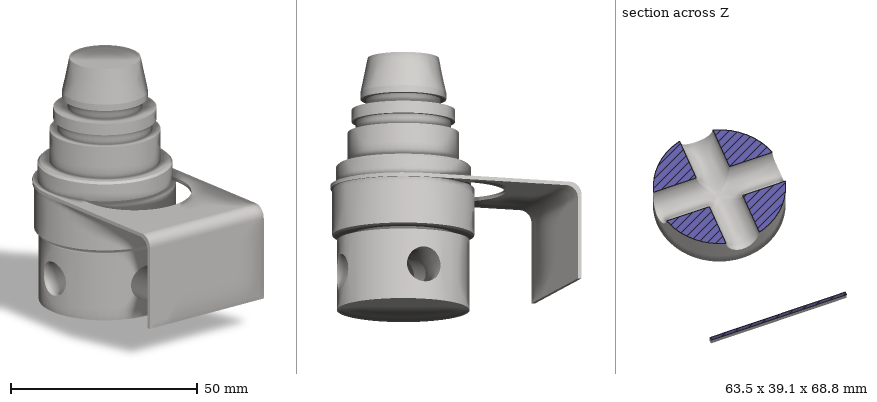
import cadquery as cq


knob_top = 19.0
housing_bottom = 20.4
bracket_bottom = 33.05
bracket_thickness = 1.0
bracket_top = bracket_bottom + bracket_thickness
nut_top = 39.5
stem_top = 48.4
hub_top = 51.4
flange_top = 54.65
neck_top = 57.5
rim_top = 59.3
overall_height = 68.77

knob_radius = 17.85
boss_radius = 14.0
housing_radius = 19.1
stem_radius = 14.95
hub_radius = 12.8
flange_radius = 13.9
nut_radius = 18.15
nut_chamfer = 0.6
tip_neck_radius = 10.05
tip_rim_radius = 11.55
tip_end_radius = 9.6

cross_hole_diameter = 9.5
cross_hole_height = knob_top / 2

overall_length = 63.47
bracket_width = 39.12
bracket_end_radius = bracket_width / 2
bracket_reach = overall_length - bracket_end_radius
bracket_leg_bottom = 7.8
bend_radius = 3.25
slot_radius = 15.3
slot_travel = 12.7


def cylinder(radius, bottom, top):
    """Upright cylinder on the Z axis between two heights."""
    return cq.Workplane("XY").workplane(offset=bottom).circle(radius).extrude(top - bottom)


def make_knob():
    """Bottom knob with a boss on top and two crossing holes for a tommy bar."""
    knob = cylinder(knob_radius, 0, knob_top)
    for side_plane in ("XZ", "YZ"):
        hole = (
            cq.Workplane(side_plane)
            .center(0, cross_hole_height)
            .circle(cross_hole_diameter / 2)
            .extrude(knob_radius * 2, both=True)
        )
        knob = knob.cut(hole)
    boss = cylinder(boss_radius, knob_top, housing_bottom)
    return knob.union(boss)


def make_housing():
    """Wide collar with a narrower stem rising through the bracket and the nut."""
    collar = cylinder(housing_radius, housing_bottom, bracket_bottom)
    stem = cylinder(stem_radius, bracket_bottom, stem_top)
    return collar.union(stem)


def make_nut():
    """Round nut on the stem that clamps the bracket."""
    nut = cylinder(nut_radius, bracket_top, nut_top).faces(">Z").edges().chamfer(nut_chamfer)
    return nut.cut(cylinder(stem_radius, bracket_top, nut_top))


def make_flange():
    """Flange on a narrower hub, standing on the stem."""
    hub = cylinder(hub_radius, stem_top, hub_top)
    flange = cylinder(flange_radius, hub_top, flange_top)
    return hub.union(flange)


def make_tip():
    """Tapered tip with a straight rim and a narrow neck, standing on the flange."""
    neck = cylinder(tip_neck_radius, flange_top, neck_top)
    rim = cylinder(tip_rim_radius, neck_top, rim_top)
    taper = (
        cq.Workplane("XY")
        .workplane(offset=rim_top)
        .circle(tip_rim_radius)
        .workplane(offset=overall_height - rim_top)
        .circle(tip_end_radius)
        .loft()
    )
    return neck.union(rim).union(taper)


def make_bracket():
    """Sheet bracket: round-ended slotted plate with a leg bent down at the far end."""
    angle = (
        cq.Workplane("XZ")
        .moveTo(0, bracket_bottom)
        .lineTo(0, bracket_top)
        .lineTo(bracket_reach, bracket_top)
        .lineTo(bracket_reach, bracket_leg_bottom)
        .lineTo(bracket_reach - bracket_thickness, bracket_leg_bottom)
        .lineTo(bracket_reach - bracket_thickness, bracket_bottom)
        .close()
        .extrude(bracket_width / 2, both=True)
    )
    inner_corner = (bracket_reach - bracket_thickness, 0, bracket_bottom)
    outer_corner = (bracket_reach, 0, bracket_top)
    for corner in (inner_corner, outer_corner):
        angle = angle.edges(cq.NearestToPointSelector(corner)).fillet(bend_radius)

    round_end = cylinder(bracket_end_radius, bracket_bottom, bracket_top)
    slot = (
        cq.Workplane("XY")
        .workplane(offset=bracket_bottom)
        .center(slot_travel / 2, 0)
        .slot2D(slot_travel + 2 * slot_radius, 2 * slot_radius)
        .extrude(bracket_thickness)
    )
    return angle.union(round_end).cut(slot)


knob = make_knob()
housing = make_housing()
bracket = make_bracket()
nut = make_nut()
flange = make_flange()
tip = make_tip()

result = cq.Compound.makeCompound(
    [knob.val(), housing.val(), bracket.val(), nut.val(), flange.val(), tip.val()]
)